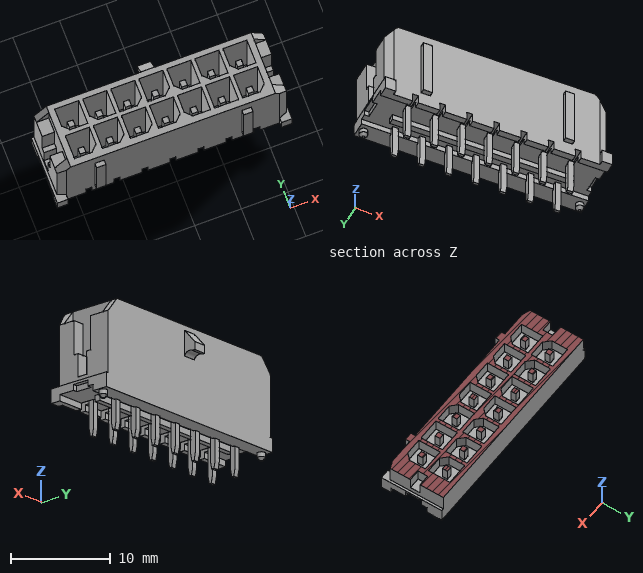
import cadquery as cq


HOUSING_LENGTH = 24.6
HOUSING_DEPTH = 6.9
HOUSING_HEIGHT = 9.9
CORNER_CUT_X = 0.9
CORNER_CUT_Y = 0.38
TOP_LENGTH = 21.93
SHOULDER_HEIGHT = 8.25

FRONT_Y = -HOUSING_DEPTH / 2
BACK_Y = HOUSING_DEPTH / 2
END_X = HOUSING_LENGTH / 2
TOP_END_X = TOP_LENGTH / 2

BASE_LENGTH = 25.15
BASE_HEIGHT = 1.58
FOOT_WIDTH = 1.15
FRONT_PROJECTION = 0.5

TOP_SLOT_FRONT_Y = -2.45
TOP_SLOT_BACK_Y = 2.7
WIDE_SLOT_WIDTH = 2.2
WIDE_SLOT_FLOOR = 4.6
NARROW_SLOT_WIDTH = 1.13
NARROW_SLOT_FLOOR = 2.11

COLUMNS = 7
ROWS = 2
ROW_LENGTH = 18.0
PITCH = ROW_LENGTH / (COLUMNS - 1)
ROW_CENTRE_Y = 0.05
PIN_SIZE = 0.63
PIN_TOP = 7.55
PIN_BOTTOM = -3.17
PIN_TAPER_START = -2.35
PIN_TIP_DEPTH = 0.3

CAVITY_SIZE = 2.57
CAVITY_CHAMFER = 0.68
CAVITY_FLOOR = 2.11
FRONT_ROW_KEYS = "RRRRLNR"
BACK_ROW_KEYS = "LLRRLLL"

CHANNEL_FRONT_Y = -2.77
CHANNEL_BACK_Y = 1.63
CHANNEL_HEIGHT = 0.68
CENTRE_RIB_WIDTH = 0.63
CENTRE_RIB_LENGTH = 20.12
END_POCKET_WIDTH = 1.9
END_POCKET_TOP = 1.3
END_POCKET_LENGTH = 0.5
NOTCH_HEIGHT = 1

RIB_X = 7.87
RIB_WIDTH = 1
RIB_TOP = 8.32

PEG_X = 11.97
PEG_Y = 2.5
PEG_DIAMETER = 0.88
PEG_TIP_DIAMETER = 0.28
PEG_CYLINDER_LENGTH = 0.5
PEG_LENGTH = 0.83

LATCH_WIDTH = 1.48
LATCH_PROJECTION = 1.38
LATCH_ROOT_TOP = 9.33
LATCH_NOSE_TOP = 7.8
LATCH_NOSE_BOTTOM = 6.95
LATCH_ROOT_BOTTOM = 6.6
LATCH_NOSE_FLAT = 0.35
LATCH_ARC_RISE = 0.1
LATCH_ARC_PEAK = 0.75


def box(x_min, x_max, y_min, y_max, z_min, z_max):
    """Axis-aligned block between the given limits."""
    size = (x_max - x_min, y_max - y_min, z_max - z_min)
    return cq.Workplane("XY").box(*size, centered=False).translate((x_min, y_min, z_min))


def column_x(column):
    return (column - (COLUMNS - 1) / 2) * PITCH


def row_y(row):
    return ROW_CENTRE_Y + (row - (ROWS - 1) / 2) * PITCH


def make_shell():
    """Housing block with bevelled front corners and sloping upper ends."""
    plan = [
        (-END_X, BACK_Y),
        (END_X, BACK_Y),
        (END_X, FRONT_Y + CORNER_CUT_Y),
        (END_X - CORNER_CUT_X, FRONT_Y),
        (-END_X + CORNER_CUT_X, FRONT_Y),
        (-END_X, FRONT_Y + CORNER_CUT_Y),
    ]
    elevation = [
        (-END_X, 0),
        (END_X, 0),
        (END_X, SHOULDER_HEIGHT),
        (TOP_END_X, HOUSING_HEIGHT),
        (-TOP_END_X, HOUSING_HEIGHT),
        (-END_X, SHOULDER_HEIGHT),
    ]
    prism = cq.Workplane("XY").polyline(plan).close().extrude(HOUSING_HEIGHT)
    profile = cq.Workplane("XZ").polyline(elevation).close().extrude(HOUSING_DEPTH / 2, both=True)
    return prism.intersect(profile)


def make_base():
    """Flange along both ends, stepping forward into a foot at each front corner."""
    half = BASE_LENGTH / 2
    base = box(-half, half, FRONT_Y + CORNER_CUT_Y, BACK_Y, 0, BASE_HEIGHT)
    foot = box(-half, FOOT_WIDTH - half, FRONT_Y - FRONT_PROJECTION, BACK_Y, 0, BASE_HEIGHT)
    return base.union(foot).union(foot.mirror("YZ"))


def make_front_rib(x):
    left = x - RIB_WIDTH / 2
    return box(left, left + RIB_WIDTH, FRONT_Y - FRONT_PROJECTION, FRONT_Y, BASE_HEIGHT, RIB_TOP)


def make_latch():
    """Hooked latch on the back face: ramp above, hollow curve below."""
    nose_y = BACK_Y + LATCH_PROJECTION
    return (
        cq.Workplane("YZ")
        .moveTo(BACK_Y, LATCH_ROOT_TOP)
        .lineTo(nose_y, LATCH_NOSE_TOP)
        .lineTo(nose_y, LATCH_NOSE_BOTTOM)
        .lineTo(nose_y - LATCH_NOSE_FLAT, LATCH_NOSE_BOTTOM)
        .threePointArc(
            (nose_y - LATCH_ARC_PEAK, LATCH_NOSE_BOTTOM + LATCH_ARC_RISE),
            (BACK_Y, LATCH_ROOT_BOTTOM),
        )
        .close()
        .extrude(LATCH_WIDTH / 2, both=True)
    )


def make_peg(x):
    """Round locating peg with a conical tip."""
    profile = [
        (0, 0),
        (PEG_DIAMETER / 2, 0),
        (PEG_DIAMETER / 2, -PEG_CYLINDER_LENGTH),
        (PEG_TIP_DIAMETER / 2, -PEG_LENGTH),
        (0, -PEG_LENGTH),
    ]
    peg = cq.Workplane("XZ").polyline(profile).close().revolve(360, (0, 0), (0, 1))
    return peg.translate((x, PEG_Y, 0))


def make_end_slots():
    """Stepped slot in the end at -X, narrowing downwards."""
    limits = [
        (TOP_SLOT_FRONT_Y, TOP_SLOT_BACK_Y, SHOULDER_HEIGHT),
        (-WIDE_SLOT_WIDTH / 2, WIDE_SLOT_WIDTH / 2, WIDE_SLOT_FLOOR),
        (-NARROW_SLOT_WIDTH / 2, NARROW_SLOT_WIDTH / 2, NARROW_SLOT_FLOOR),
    ]
    slots = cq.Workplane("XY")
    for y_min, y_max, floor in limits:
        slots = slots.add(box(-END_X, -TOP_END_X, y_min, y_max, floor, HOUSING_HEIGHT))
    return slots.combine()


def make_cavity(x, y, key):
    """Square socket, keyed by a chamfer on its front left or front right corner."""
    depth = HOUSING_HEIGHT - CAVITY_FLOOR
    cavity = cq.Workplane("XY").rect(CAVITY_SIZE, CAVITY_SIZE).extrude(depth)
    if key == "L":
        cavity = cavity.edges("|Z and <X and <Y").chamfer(CAVITY_CHAMFER)
    if key == "R":
        cavity = cavity.edges("|Z and >X and <Y").chamfer(CAVITY_CHAMFER)
    return cavity.translate((x, y, CAVITY_FLOOR))


def make_pin(x, y):
    """Square pin whose lower end tapers in Y."""
    half = PIN_SIZE / 2
    half_tip = PIN_TIP_DEPTH / 2
    profile = [
        (-half, PIN_TOP),
        (half, PIN_TOP),
        (half, PIN_TAPER_START),
        (half_tip, PIN_BOTTOM),
        (-half_tip, PIN_BOTTOM),
        (-half, PIN_TAPER_START),
    ]
    pin = cq.Workplane("YZ").polyline(profile).close().extrude(half, both=True)
    return pin.translate((x, y, 0))


def make_channel():
    """Channel under the full length, split by a centre rib, with a pocket at each end."""
    half = BASE_LENGTH / 2
    half_rib = CENTRE_RIB_WIDTH / 2
    half_pocket = END_POCKET_WIDTH / 2
    channel = box(-half, half, CHANNEL_FRONT_Y, CHANNEL_BACK_Y, 0, CHANNEL_HEIGHT)
    inner = half - END_POCKET_LENGTH
    rib_end = CENTRE_RIB_LENGTH / 2
    rib = box(-rib_end, rib_end, ROW_CENTRE_Y - half_rib, ROW_CENTRE_Y + half_rib, 0, CHANNEL_HEIGHT)
    pocket = box(-half, -inner, -half_pocket, half_pocket, 0, END_POCKET_TOP)
    return channel.cut(rib).union(pocket).union(pocket.mirror("YZ"))


def make_front_notch(x):
    """Opening from the front face back to a front-row pin."""
    left = x - PIN_SIZE / 2
    return box(left, left + PIN_SIZE, FRONT_Y, row_y(0) - PIN_SIZE / 2, 0, NOTCH_HEIGHT)


result = make_shell().union(make_base()).union(make_latch())
for side in (-1, 1):
    result = result.union(make_front_rib(side * RIB_X))
    result = result.union(make_peg(side * PEG_X))

end_slots = make_end_slots()
result = result.cut(end_slots).cut(end_slots.mirror("YZ")).cut(make_channel())

for column in range(COLUMNS):
    result = result.cut(make_front_notch(column_x(column)))
    for row, keys in enumerate((FRONT_ROW_KEYS, BACK_ROW_KEYS)):
        x, y = column_x(column), row_y(row)
        result = result.cut(make_cavity(x, y, keys[column])).union(make_pin(x, y))